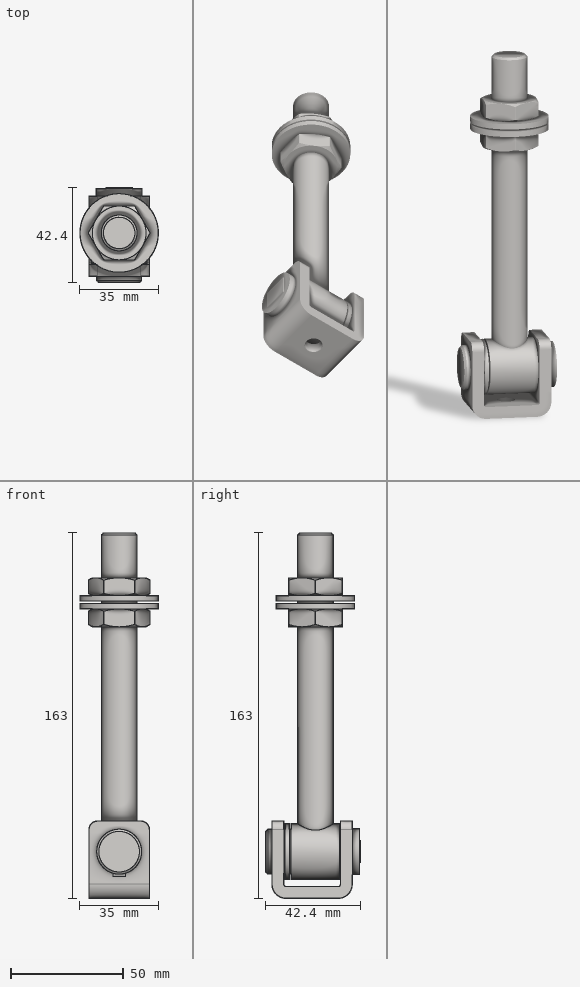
import cadquery as cq
import math

rod_diameter = 16.0
rod_top = 163.0
rod_chamfer = 1.0

nut_sides = 6
nut_width_across_flats = 24.0
nut_corner_diameter = 27.5
nut_height = 8.0
nut_chamfer_angle = 30.0
washer_diameter = 35.0
washer_bore = 17.0
washer_thickness = 2.5
washer_gap = 1.0
upper_nut_top = 143.0

clevis_width = 27.0
clevis_height = 34.5
clevis_thickness = 5.4
clevis_back = 16.5
clevis_front = -19.4
clevis_bend_radius = 6.4
clevis_inner_radius = 0.8
clevis_corner_radius = 3.9
drain_hole_diameter = 8.0

pin_diameter = 20.0
pin_back = 19.7
pin_front = -22.2
pin_height = 20.9
pin_chamfer = 1.0
pin_head_diameter = 20.5
pad_width = 11.7
pad_height = 9.8
pad_thickness = 0.5

barrel_diameter = 25.0
barrel_length = 21.7
spacer_thickness = 2.0
spacer_clearance = 0.5

key_width = 5.5
key_height = 11.1

clevis_front_inner = clevis_front + clevis_thickness
spacer_front = clevis_front_inner + spacer_clearance
clevis_middle = (clevis_back + clevis_front) / 2


def cylinder_along_y(diameter, front, back):
    """Cylinder on the pin axis between two Y positions."""
    end_plane = cq.Workplane("XZ", origin=(0, back, pin_height))
    return end_plane.circle(diameter / 2).extrude(back - front)


def pin_bore():
    return cylinder_along_y(pin_diameter, pin_front, pin_back)


def make_eye_rod():
    barrel = cylinder_along_y(barrel_diameter, -barrel_length / 2, barrel_length / 2)
    shank = cq.Workplane("XY", origin=(0, 0, pin_height)).circle(rod_diameter / 2)
    shank = shank.extrude(rod_top - pin_height).faces(">Z").chamfer(rod_chamfer)
    return barrel.union(shank).cut(pin_bore())


def make_nut(bottom):
    """Hexagon nut with slightly rounded corners, two on the X axis, and conical end chamfers."""
    sharp_corner_radius = nut_width_across_flats / 2 / math.cos(math.pi / nut_sides)
    corner_radius = nut_corner_diameter / 2
    flat_radius = nut_width_across_flats / 2
    chamfer_height = (corner_radius - flat_radius) * math.tan(math.radians(nut_chamfer_angle))
    hexagon = cq.Workplane("XY").polygon(nut_sides, 2 * sharp_corner_radius).extrude(nut_height)
    envelope = (
        cq.Workplane("XZ")
        .moveTo(0, 0)
        .lineTo(flat_radius, 0)
        .lineTo(corner_radius, chamfer_height)
        .lineTo(corner_radius, nut_height - chamfer_height)
        .lineTo(flat_radius, nut_height)
        .lineTo(0, nut_height)
        .close()
        .revolve(360, (0, 0, 0), (0, 1, 0))
    )
    bore = cq.Workplane("XY").circle(rod_diameter / 2).extrude(nut_height)
    return hexagon.intersect(envelope).cut(bore).translate((0, 0, bottom))


def make_washer(bottom):
    plane = cq.Workplane("XY", origin=(0, 0, bottom))
    return plane.circle(washer_diameter / 2).circle(washer_bore / 2).extrude(washer_thickness)


def make_clevis():
    """U-shaped bracket with a drain hole in its floor, the pin holes and a notch for the key."""
    depth = clevis_back - clevis_front
    base = cq.Workplane("XY", origin=(0, clevis_middle, 0))
    outside = base.rect(clevis_width, depth).extrude(clevis_height)
    outside = outside.edges("<Z and |X").fillet(clevis_bend_radius)
    opening = (
        cq.Workplane("XY", origin=(0, clevis_middle, clevis_thickness))
        .rect(clevis_width, depth - 2 * clevis_thickness)
        .extrude(clevis_height)
        .edges("<Z and |X")
        .fillet(clevis_inner_radius)
    )
    clevis = outside.cut(opening)
    clevis = clevis.edges("|Y and >Z").fillet(clevis_corner_radius)
    drain_hole = base.circle(drain_hole_diameter / 2).extrude(clevis_thickness)
    return clevis.cut(drain_hole).cut(pin_bore()).cut(make_key())


def make_pin():
    """Pin with a chamfered front end, a head behind the clevis and a thin pad on the head."""
    shaft = cylinder_along_y(pin_diameter, pin_front, clevis_back).faces("<Y").chamfer(pin_chamfer)
    head = cylinder_along_y(pin_head_diameter, clevis_back, pin_back)
    pad_plane = cq.Workplane("XZ", origin=(0, pin_back, pin_height))
    pad = pad_plane.rect(pad_width, pad_height).extrude(-pad_thickness)
    return shaft.union(head).union(pad)


def make_spacer():
    ring = cylinder_along_y(barrel_diameter, spacer_front, spacer_front + spacer_thickness)
    return ring.cut(pin_bore())


def make_key():
    """Flat key filling the front leg under the pin, with its top hollowed to the pin."""
    plane = cq.Workplane("XZ", origin=(0, clevis_front_inner, pin_height - key_height / 2))
    return plane.rect(key_width, key_height).extrude(clevis_thickness).cut(pin_bore())


upper_nut_bottom = upper_nut_top - nut_height
upper_washer_bottom = upper_nut_bottom - washer_thickness
lower_washer_bottom = upper_washer_bottom - washer_gap - washer_thickness
lower_nut_bottom = lower_washer_bottom - nut_height

eye_rod = make_eye_rod()
clevis = make_clevis()
pin = make_pin()
spacer = make_spacer()
key = make_key()
nuts = [make_nut(bottom) for bottom in (upper_nut_bottom, lower_nut_bottom)]
washers = [make_washer(bottom) for bottom in (upper_washer_bottom, lower_washer_bottom)]

fixed_bodies = [eye_rod, clevis, pin, spacer, key]
result = cq.Compound.makeCompound([body.val() for body in fixed_bodies + nuts + washers])